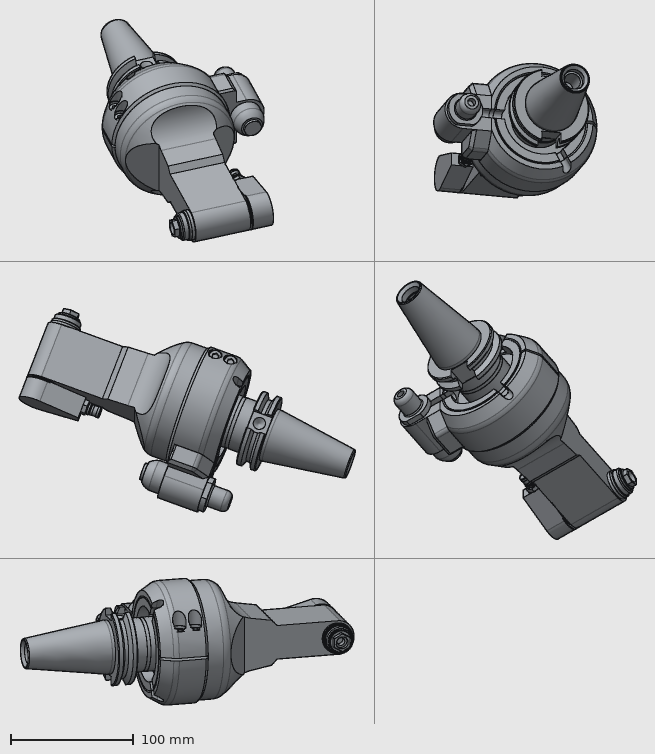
import cadquery as cq
import math


gauge_x = 68.4
gauge_radius = 22.225
taper_small_radius = 12.5
taper_edge_chamfer = 1.0
flange_start_x = 71.0
flange_end_x = 87.5
flange_radius = 31.8
flange_edge_chamfer = 0.8
flange_groove_radius = 26.8
flange_groove_bottom_width = 3.2
flange_groove_top_width = 8.2
relief_start_x = 98.0
relief_end_x = 101.0
relief_radius = 22.0
drawbar_mouth_radius = 8.5
drawbar_mouth_depth = 8.0
drawbar_mouth_chamfer = 2.6
drawbar_bore_radius = 6.75
drawbar_bore_depth = 30.0
key_slot_width = 16.4
upper_key_slot_floor = 24.8
lower_key_slot_floor = -22.7
drive_dimple_diameter = 10.0

ring_front_x = 102.9
ring_end_x = 142.0
ring_radius = 51.0
ring_front_radius = 44.0
ring_cone_end_x = 114.6
ring_cone_fillet = 8.5
ring_rear_chamfer_length = 2.3
ring_bore_radius = 38.2
ring_bore_chamfer = 1.3
ring_slit_width = 2.2
ring_flat_y = 41.7
radial_groove_width = 7.6
radial_groove_depth = 8.1
radial_groove_start = 25.0
clamp_screw_xs = (119.8, 133.0)
clamp_screw_y = -41.0
screw_head_floor_z = 24.4
screw_head_bore_diameter = 11.0
screw_seat_diameter = 10.0
screw_seat_depth = 2.4
screw_socket_size = 5.0
screw_socket_depth = 3.0

block_end_x = 137.4
block_top_y = 57.5
block_half_width = 29.2
block_nose_length = 11.5
block_nose_fillet = 5.0
block_edge_chamfer = 3.0
block_rear_chamfer = 1.7
barrel_radius = 15.2
barrel_top_y = 81.23
barrel_y = barrel_top_y - barrel_radius

plunger_y = 65.0
plunger_tip_x = 80.4
plunger_flange_x = 98.2
plunger_radius = 9.0
plunger_tip_radius = 5.8
plunger_tip_length = 5.0
plunger_tip_bulge = (1.8, 8.0)
plunger_collar_radius = 9.6
plunger_collar_length = 1.5
plunger_flange_radius = 14.4
plunger_flange_flats = 25.4
plunger_hole_diameter = 6.5
plunger_hole_depth = 6.0
cap_radius = 13.0
cap_straight_end_x = 146.3
cap_shoulder_x = 154.0
cap_shoulder_radius = 9.0
cap_bulge_x = 150.5
cap_bulge_radius = 11.6
cap_button_radius = 7.2
cap_button_end_x = 156.4

head_radius = 49.0
head_recess_radius = 31.0
head_recess_depth = 10.0
head_round_x = 155.0
head_round_radius = 11.75
head_cone_angle = math.radians(34.5)
head_cone_end_x = 182.0
flank_low_y = -24.1
flank_high_y = 22.9
flank_start_x = 163.0
flank_end_x = 179.5
flank_start_half_width = 45.3
neck_blend_radius = 26.0
neck_taper_angle = math.radians(10)
neck_blend_end_x = 185.1
neck_blend_end_z = 22.2
neck_taper_end_x = 202.5
neck_step_end_x = 207.3
arm_half_height = 14.3
arm_end_radius = 14.5
tool_axis_x = 258.0

nose_steps = ((12.6, -26.7, 0.1), (12.4, -29.0, 0.5), (11.4, -33.7, 1.0), (9.4, -35.6, 0.5))
nose_hex_size = 13.2
nose_end_y = -39.8
nose_mouth_diameter = 10.0
nose_mouth_depth = 4.0
nose_bore_diameter = 6.5
nose_bore_depth = 10.0

feed_collar_radius = 12.0
feed_base_y = 24.4
feed_lip_radius = 14.7
feed_lip_thickness = 0.8
feed_top_y = 42.7
feed_start_x = 221.0
feed_start_half_height = 5.2
fitting_y = 31.2
fitting_hex_size = 11.0
fitting_hex_x = 217.4
fitting_steps = (
    (205.9, 206.7, 4.2),
    (206.7, 208.6, 4.5),
    (208.6, 212.0, 4.3),
    (212.0, 213.9, 4.5),
    (213.9, 214.9, 3.8),
    (214.9, 216.6, 5.0),
    (216.6, fitting_hex_x, 3.8),
)


def x_cylinder(start_x, end_x, radius, y=0):
    return cq.Workplane("YZ", origin=(start_x, y, 0)).circle(radius).extrude(end_x - start_x)


def y_cylinder(start_y, end_y, radius):
    """Cylinder on the cutter axis, running from start_y to end_y."""
    plane = cq.Workplane("XZ", origin=(tool_axis_x, start_y, 0))
    return plane.circle(radius).extrude(start_y - end_y)


def box_between(start, end):
    size = [high - low for low, high in zip(start, end)]
    return cq.Workplane("XY").box(*size, centered=False).translate(start)


def make_shank():
    groove_middle = (flange_start_x + flange_end_x) / 2
    half_top = flange_groove_top_width / 2
    half_bottom = flange_groove_bottom_width / 2
    shank_end_x = ring_front_x + head_recess_depth
    outline = [
        (0, 0),
        (0, taper_small_radius - taper_edge_chamfer / 2),
        (taper_edge_chamfer, taper_small_radius),
        (gauge_x, gauge_radius),
        (flange_start_x, gauge_radius),
        (flange_start_x, flange_radius - flange_edge_chamfer),
        (flange_start_x + flange_edge_chamfer, flange_radius),
        (groove_middle - half_top, flange_radius),
        (groove_middle - half_bottom, flange_groove_radius),
        (groove_middle + half_bottom, flange_groove_radius),
        (groove_middle + half_top, flange_radius),
        (flange_end_x - flange_edge_chamfer, flange_radius),
        (flange_end_x, flange_radius - flange_edge_chamfer),
        (flange_end_x, gauge_radius),
        (relief_start_x, gauge_radius),
        (relief_start_x, relief_radius),
        (relief_end_x, relief_radius),
        (relief_end_x, gauge_radius),
        (shank_end_x, gauge_radius),
        (shank_end_x, 0),
    ]
    shank = cq.Workplane("XY").polyline(outline).close().revolve(360, (0, 0), (1, 0))

    bore_outline = [
        (0, 0),
        (0, drawbar_mouth_radius + drawbar_mouth_chamfer),
        (drawbar_mouth_chamfer, drawbar_mouth_radius),
        (drawbar_mouth_depth, drawbar_mouth_radius),
        (drawbar_mouth_depth, drawbar_bore_radius),
        (drawbar_bore_depth, drawbar_bore_radius),
        (drawbar_bore_depth, 0),
    ]
    shank = shank.cut(cq.Workplane("XY").polyline(bore_outline).close().revolve(360, (0, 0), (1, 0)))

    half_slot = key_slot_width / 2
    for floor, outside in ((upper_key_slot_floor, flange_radius), (lower_key_slot_floor, -flange_radius)):
        slot = box_between(
            (flange_start_x, -half_slot, min(floor, outside)),
            (flange_end_x, half_slot, max(floor, outside)),
        )
        shank = shank.cut(slot)

    dimple_radius = drive_dimple_diameter / 2
    dimple = cq.Solid.makeCone(
        dimple_radius, 0, dimple_radius, cq.Vector(groove_middle, 0, upper_key_slot_floor), cq.Vector(0, 0, -1)
    )
    return shank.cut(cq.Workplane(dimple))


def radial_groove(angle, round_bottom=True):
    """Wrench groove in the front face, turned about X by an angle from +Y."""
    half_width = radial_groove_width / 2
    floor_x = ring_front_x + radial_groove_depth
    straight_end_x = floor_x - half_width if round_bottom else floor_x
    length = plunger_y - radial_groove_start
    groove = box_between(
        (ring_front_x, radial_groove_start, -half_width),
        (straight_end_x, plunger_y, half_width),
    )
    if round_bottom:
        bottom = cq.Workplane("XZ", origin=(straight_end_x, plunger_y, 0)).circle(half_width).extrude(length)
        groove = groove.union(bottom)
    return groove.rotate((0, 0, 0), (1, 0, 0), angle)


def make_ring():
    outline = [
        (ring_front_x, ring_bore_radius + ring_bore_chamfer),
        (ring_front_x, ring_front_radius),
        (ring_cone_end_x, ring_radius),
        (ring_end_x - ring_rear_chamfer_length, ring_radius),
        (ring_end_x, head_radius),
        (ring_end_x, ring_bore_radius),
        (ring_front_x + ring_bore_chamfer, ring_bore_radius),
    ]
    ring = cq.Workplane("XY").polyline(outline).close().revolve(360, (0, 0), (1, 0))
    cone_edge = cq.selectors.BoxSelector(
        (ring_cone_end_x - 1, -ring_radius - 1, -ring_radius - 1),
        (ring_cone_end_x + 1, ring_radius + 1, ring_radius + 1),
    )
    ring = ring.edges(cone_edge).fillet(ring_cone_fillet)
    flat = box_between(
        (ring_front_x, ring_flat_y, -block_half_width),
        (block_end_x, ring_radius, block_half_width),
    )
    slit = box_between(
        (ring_front_x, -ring_radius, -ring_slit_width / 2),
        (ring_end_x, 0, ring_slit_width / 2),
    )
    ring = ring.cut(flat).cut(slit)
    for angle in (0, 120, 240):
        ring = ring.cut(radial_groove(angle))

    for x in clamp_screw_xs:
        floor = cq.Workplane("XY", origin=(x, clamp_screw_y, screw_head_floor_z))
        seat = floor.circle(screw_seat_diameter / 2).extrude(-screw_seat_depth)
        head_bore = floor.circle(screw_head_bore_diameter / 2).extrude(ring_radius)
        socket = (
            floor.workplane(offset=-screw_seat_depth)
            .polygon(6, screw_socket_size, circumscribed=True)
            .extrude(-screw_socket_depth)
        )
        ring = ring.cut(head_bore).cut(seat).cut(socket)
    return ring


def make_block():
    nose_x = ring_front_x + block_nose_length
    outline = [
        (ring_front_x, -barrel_radius),
        (ring_front_x, barrel_radius),
        (nose_x, block_half_width),
        (block_end_x, block_half_width),
        (block_end_x, -block_half_width),
        (nose_x, -block_half_width),
    ]
    foot = (
        cq.Workplane("XZ", origin=(0, block_top_y, 0))
        .polyline(outline)
        .close()
        .extrude(block_top_y - ring_flat_y)
    )
    nose_corners = cq.selectors.BoxSelector(
        (nose_x - 1, 0, -block_half_width - 1), (nose_x + 1, block_top_y, block_half_width + 1)
    )
    foot = foot.edges("|Y").edges(nose_corners).fillet(block_nose_fillet)
    foot = foot.faces(">Y").edges("|X").chamfer(block_edge_chamfer)
    foot = foot.faces(">X").edges("|Y").chamfer(block_rear_chamfer)

    barrel = x_cylinder(ring_front_x, block_end_x, barrel_radius, barrel_y)
    web = box_between(
        (ring_front_x, ring_flat_y, -barrel_radius),
        (block_end_x, barrel_y, barrel_radius),
    )
    bore = x_cylinder(ring_front_x, block_end_x, plunger_radius, plunger_y)
    return foot.union(web).union(barrel).cut(radial_groove(0)).cut(bore)


def make_plunger():
    outline = (
        cq.Workplane("XY", origin=(0, plunger_y, 0))
        .moveTo(plunger_tip_x, 0)
        .lineTo(plunger_tip_x, plunger_tip_radius)
        .threePointArc(
            (plunger_tip_x + plunger_tip_bulge[0], plunger_tip_bulge[1]),
            (plunger_tip_x + plunger_tip_length, plunger_radius),
        )
        .lineTo(plunger_flange_x - plunger_collar_length, plunger_radius)
        .lineTo(plunger_flange_x, plunger_collar_radius)
        .lineTo(plunger_flange_x, plunger_radius)
        .lineTo(block_end_x, plunger_radius)
        .lineTo(block_end_x, cap_radius)
        .lineTo(cap_straight_end_x, cap_radius)
        .threePointArc((cap_bulge_x, cap_bulge_radius), (cap_shoulder_x, cap_shoulder_radius))
        .lineTo(cap_shoulder_x, cap_button_radius)
        .lineTo(cap_button_end_x, cap_button_radius)
        .lineTo(cap_button_end_x, 0)
        .close()
    )
    plunger = outline.revolve(360, (0, 0), (1, 0))
    flange = x_cylinder(plunger_flange_x, ring_front_x, plunger_flange_radius, plunger_y)
    flats = cq.Workplane("XY").box(
        ring_front_x, 2 * barrel_top_y, plunger_flange_flats, centered=(False, False, True)
    )
    hole = x_cylinder(
        plunger_tip_x, plunger_tip_x + plunger_hole_depth, plunger_hole_diameter / 2, plunger_y
    )
    return plunger.union(flange.intersect(flats)).cut(hole)


def head_turned_body():
    """Turned boss, drum, rounded corner and cone."""
    recess_floor_x = ring_front_x + head_recess_depth
    round_end_x = head_round_x + head_round_radius * math.sin(head_cone_angle)
    round_end_radius = head_radius - head_round_radius * (1 - math.cos(head_cone_angle))
    round_mid_x = head_round_x + head_round_radius * math.sin(head_cone_angle / 2)
    round_mid_radius = head_radius - head_round_radius * (1 - math.cos(head_cone_angle / 2))
    cone_end_radius = round_end_radius - (head_cone_end_x - round_end_x) * math.tan(head_cone_angle)
    return (
        cq.Workplane("XY")
        .moveTo(recess_floor_x, 0)
        .lineTo(recess_floor_x, head_recess_radius)
        .lineTo(ring_front_x, head_recess_radius)
        .lineTo(ring_front_x, ring_bore_radius)
        .lineTo(ring_end_x, ring_bore_radius)
        .lineTo(ring_end_x, head_radius)
        .lineTo(head_round_x, head_radius)
        .threePointArc((round_mid_x, round_mid_radius), (round_end_x, round_end_radius))
        .lineTo(head_cone_end_x, cone_end_radius)
        .lineTo(head_cone_end_x, 0)
        .close()
        .revolve(360, (0, 0), (1, 0))
    )


def head_side_profile():
    """Prism along Y: full drum height, hollow blend arcs, tapered neck and round-ended arm."""
    blend_center_x = neck_blend_end_x + neck_blend_radius * math.sin(neck_taper_angle)
    blend_center_z = neck_blend_end_z + neck_blend_radius * math.cos(neck_taper_angle)
    blend_start_x = blend_center_x - neck_blend_radius
    arm_round_x = tool_axis_x + math.sqrt(arm_end_radius**2 - arm_half_height**2)
    mid_angle = (math.pi + 1.5 * math.pi - neck_taper_angle) / 2
    blend_mid_x = blend_center_x + neck_blend_radius * math.cos(mid_angle)
    blend_mid_z = blend_center_z + neck_blend_radius * math.sin(mid_angle)
    neck_end_z = neck_blend_end_z - (neck_taper_end_x - neck_blend_end_x) * math.tan(neck_taper_angle)
    return (
        cq.Workplane("XZ", origin=(0, head_radius, 0))
        .moveTo(ring_front_x, head_radius)
        .lineTo(blend_start_x, head_radius)
        .lineTo(blend_start_x, blend_center_z)
        .threePointArc((blend_mid_x, blend_mid_z), (neck_blend_end_x, neck_blend_end_z))
        .lineTo(neck_taper_end_x, neck_end_z)
        .lineTo(neck_step_end_x, arm_half_height)
        .lineTo(arm_round_x, arm_half_height)
        .threePointArc((tool_axis_x + arm_end_radius, 0), (arm_round_x, -arm_half_height))
        .lineTo(neck_step_end_x, -arm_half_height)
        .lineTo(neck_taper_end_x, -neck_end_z)
        .lineTo(neck_blend_end_x, -neck_blend_end_z)
        .threePointArc((blend_mid_x, -blend_mid_z), (blend_start_x, -blend_center_z))
        .lineTo(blend_start_x, -head_radius)
        .lineTo(ring_front_x, -head_radius)
        .close()
        .extrude(2 * head_radius)
    )


def head_plan_profile():
    """Prism along Z: full drum width, slanted flanks and the parallel sides of the arm."""
    arm_end_x = tool_axis_x + arm_end_radius
    flank_slope = (flank_start_half_width + flank_low_y) / (flank_end_x - flank_start_x)
    full_width_x = flank_start_x - (head_radius - flank_start_half_width) / flank_slope
    outline = [
        (ring_front_x, -head_radius),
        (full_width_x, -head_radius),
        (flank_end_x, flank_low_y),
        (arm_end_x, flank_low_y),
        (arm_end_x, flank_high_y),
        (flank_end_x, flank_high_y),
        (full_width_x, head_radius),
        (ring_front_x, head_radius),
    ]
    return (
        cq.Workplane("XY", origin=(0, 0, -head_radius)).polyline(outline).close().extrude(2 * head_radius)
    )


def add_spindle_nose(head):
    start_y = flank_low_y
    for radius, end_y, edge_chamfer in nose_steps:
        step = y_cylinder(start_y, end_y, radius).faces("<Y").edges().chamfer(edge_chamfer)
        head = head.union(step)
        start_y = end_y
    hexagon = (
        cq.Workplane("XZ", origin=(tool_axis_x, start_y, 0))
        .polygon(6, nose_hex_size, circumscribed=True)
        .extrude(start_y - nose_end_y)
    )
    bore = y_cylinder(nose_end_y + nose_bore_depth, nose_end_y, nose_bore_diameter / 2)
    mouth = y_cylinder(nose_end_y + nose_mouth_depth, nose_end_y, nose_mouth_diameter / 2)
    return head.union(hexagon).cut(bore).cut(mouth)


def feed_housing():
    """Round-ended block that narrows toward the hose fitting, its sides tangent to the round end."""
    reach = tool_axis_x - feed_start_x
    corner_distance = math.hypot(reach, feed_start_half_height)
    corner_angle = math.atan2(feed_start_half_height, reach)
    tilt = math.asin(arm_end_radius / corner_distance) - corner_angle
    tangent_x = tool_axis_x - arm_end_radius * math.sin(tilt)
    tangent_z = arm_end_radius * math.cos(tilt)
    return (
        cq.Workplane("XZ", origin=(0, feed_top_y, 0))
        .moveTo(feed_start_x, feed_start_half_height)
        .lineTo(tangent_x, tangent_z)
        .threePointArc((tool_axis_x + arm_end_radius, 0), (tangent_x, -tangent_z))
        .lineTo(feed_start_x, -feed_start_half_height)
        .close()
        .extrude(feed_top_y - feed_base_y)
    )


def feed_fitting():
    fitting = (
        cq.Workplane("YZ", origin=(fitting_hex_x, fitting_y, 0))
        .polygon(6, fitting_hex_size, circumscribed=True)
        .extrude(feed_start_x - fitting_hex_x)
    )
    for start_x, end_x, radius in fitting_steps:
        fitting = fitting.union(x_cylinder(start_x, end_x, radius, fitting_y))
    return fitting


def add_coolant_feed(head):
    collar = y_cylinder(feed_base_y, flank_high_y, feed_collar_radius)
    lip = y_cylinder(feed_base_y + feed_lip_thickness, feed_base_y, feed_lip_radius)
    return head.union(collar).union(lip).union(feed_housing()).union(feed_fitting())


def make_head():
    neck_envelope = box_between(
        (flank_end_x, flank_low_y, -head_radius),
        (tool_axis_x + arm_end_radius, flank_high_y, head_radius),
    )
    head = head_turned_body().union(neck_envelope)
    head = head.intersect(head_side_profile()).intersect(head_plan_profile())
    head = head.cut(radial_groove(0))
    for angle in (120, 240):
        head = head.cut(radial_groove(angle, round_bottom=False))
    return add_coolant_feed(add_spindle_nose(head))


shank = make_shank()
ring = make_ring()
block = make_block()
plunger = make_plunger()
head = make_head()

result = cq.Compound.makeCompound(
    [shank.val(), ring.val(), block.val(), plunger.val(), head.val()]
)